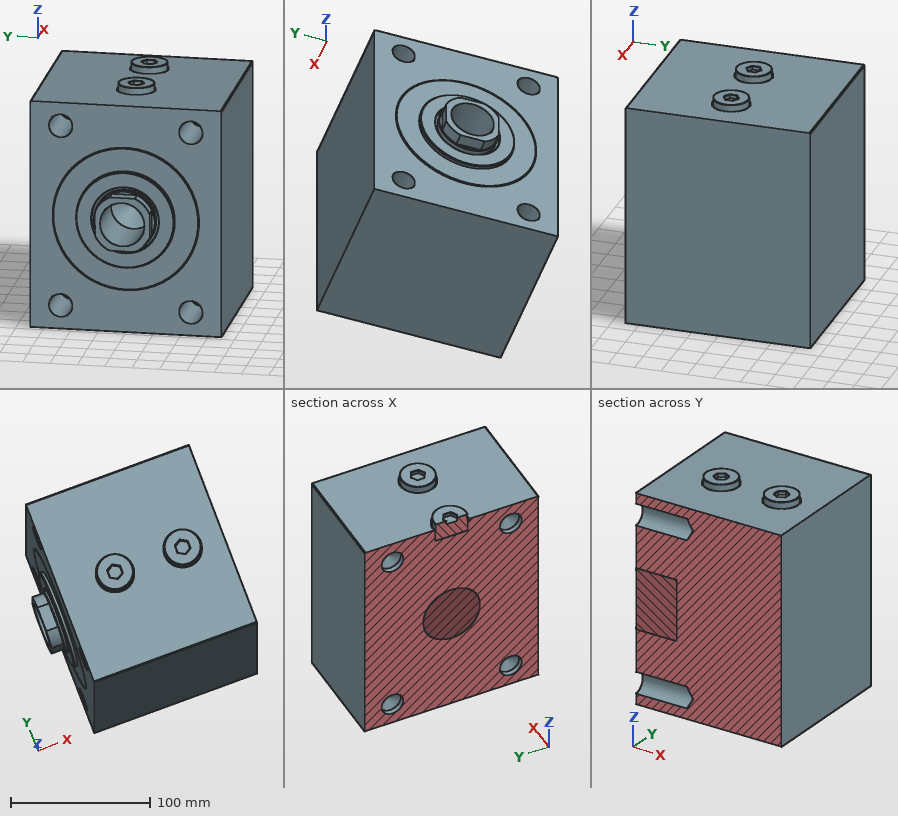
import cadquery as cq
import math


overall_length = 139.0
overall_height = 174.9
block_width = 140.0
rod_overhang = 14.0
plug_overhang = 4.9
block_length = overall_length - rod_overhang
block_height = overall_height - plug_overhang
block_top = block_height / 2

top_edge_chamfer = 0.7
bolt_hole_diameter = 17.1
bolt_hole_depth = 43.7
bolt_spacing_y = 95.1
bolt_spacing_z = 135.0
drill_half_angle = 59.0

gland_diameter = 107.0
gland_depth = 35.0
gland_rim_chamfer = 0.7
collar_diameter = 72.0
collar_height = 3.0
collar_chamfer = 0.7
wiper_recess_diameter = 49.1
wiper_recess_depth = 2.1
wiper_recess_chamfer = 0.3

rod_diameter = 45.1
rod_depth = 70.0
rod_end_diameter = 44.0
rod_shoulder_chamfer = (rod_diameter - rod_end_diameter) / 2
rod_end_length = 9.0
rod_across_flats = 40.0
rod_bore_diameter = 32.5
rod_bore_depth = 43.7

plug_diameter = 26.2
plug_chamfer = 0.3
plug_depth = 10.5
plug_positions_x = (42.2, 94.1)
spotface_diameter = 28.0
spotface_depth = 1.0
hex_across_flats = 9.5
hex_rim_chamfer = 0.3
hex_depth = 3.0


def cylinder_x(diameter, x_start, x_end):
    """Cylinder on the rod axis between two X positions."""
    return cq.Workplane("YZ", origin=(x_start, 0, 0)).circle(diameter / 2).extrude(x_end - x_start)


def drilled_hole(diameter, depth, x_start, y=0, z=0):
    """Blind hole cutter along +X with a conical drill point beyond its full-diameter depth."""
    radius = diameter / 2
    tip_length = radius / math.tan(math.radians(drill_half_angle))
    return (
        cq.Workplane("XY")
        .lineTo(0, radius)
        .lineTo(depth, radius)
        .lineTo(depth + tip_length, 0)
        .close()
        .revolve(360, (0, 0, 0), (1, 0, 0))
        .translate((x_start, y, z))
    )


def make_block():
    """Rectangular housing with bolt holes in its front face and two plug seats on top."""
    block = (
        cq.Workplane("XY")
        .box(block_length, block_width, block_height)
        .translate((block_length / 2, 0, 0))
        .edges("|X and >Z")
        .chamfer(top_edge_chamfer)
    )
    for y in (-bolt_spacing_y / 2, bolt_spacing_y / 2):
        for z in (-bolt_spacing_z / 2, bolt_spacing_z / 2):
            block = block.cut(drilled_hole(bolt_hole_diameter, bolt_hole_depth, 0, y, z))

    block = block.cut(cylinder_x(gland_diameter, 0, gland_depth))
    block = block.cut(cylinder_x(rod_diameter, gland_depth, rod_depth))

    for x in plug_positions_x:
        top_plane = cq.Workplane("XY", origin=(x, 0, block_top))
        block = block.cut(top_plane.circle(plug_diameter / 2).extrude(-plug_depth))
        block = block.cut(top_plane.circle(spotface_diameter / 2).extrude(-spotface_depth))
    return block


def make_gland():
    """Disc set into the block, with a raised collar and a wiper recess around the rod."""
    body = cylinder_x(gland_diameter, 0, gland_depth).faces("<X").chamfer(gland_rim_chamfer)
    collar = cylinder_x(collar_diameter, -collar_height, 0).faces("<X").chamfer(collar_chamfer)
    recess = cylinder_x(wiper_recess_diameter, -collar_height, wiper_recess_depth - collar_height)
    gland = body.union(collar).cut(recess)
    recess_rim = gland.faces("<X").edges(cq.selectors.RadiusNthSelector(0))
    gland = recess_rim.chamfer(wiper_recess_chamfer)
    return gland.cut(cylinder_x(rod_diameter, -collar_height, gland_depth))


def make_rod():
    """Piston rod with a flatted end and a blind bore."""
    shoulder_x = rod_end_length - rod_overhang
    shaft = cylinder_x(rod_diameter, shoulder_x, rod_depth).faces("<X").chamfer(rod_shoulder_chamfer)
    square_bar = (
        cq.Workplane("YZ", origin=(-rod_overhang, 0, 0))
        .rect(rod_across_flats, rod_across_flats)
        .extrude(rod_end_length)
    )
    rod_end = cylinder_x(rod_end_diameter, -rod_overhang, shoulder_x).intersect(square_bar)
    bore = drilled_hole(rod_bore_diameter, rod_bore_depth, -rod_overhang)
    return shaft.union(rod_end).cut(bore)


def make_plug(x):
    """Round plug with a hexagon socket, standing proud of the block top at the given X."""
    plug_top = block_top + plug_overhang
    top_plane = cq.Workplane("XY", origin=(x, 0, plug_top))
    plug = top_plane.circle(plug_diameter / 2).extrude(-(plug_overhang + plug_depth))
    plug = plug.faces(">Z").chamfer(plug_chamfer)
    hex_across_corners = hex_across_flats / math.cos(math.pi / 6)
    socket = (
        cq.Workplane("XY")
        .polygon(6, hex_across_corners)
        .extrude(-hex_depth)
        .rotate((0, 0, 0), (0, 0, 1), 90)
        .translate((x, 0, plug_top))
    )
    plug = plug.cut(socket)
    return plug.faces(">Z").edges("%LINE").chamfer(hex_rim_chamfer)


block = make_block()
gland = make_gland()
rod = make_rod()
plugs = [make_plug(x) for x in plug_positions_x]

result = cq.Compound.makeCompound([block.val(), gland.val(), rod.val(), *[plug.val() for plug in plugs]])